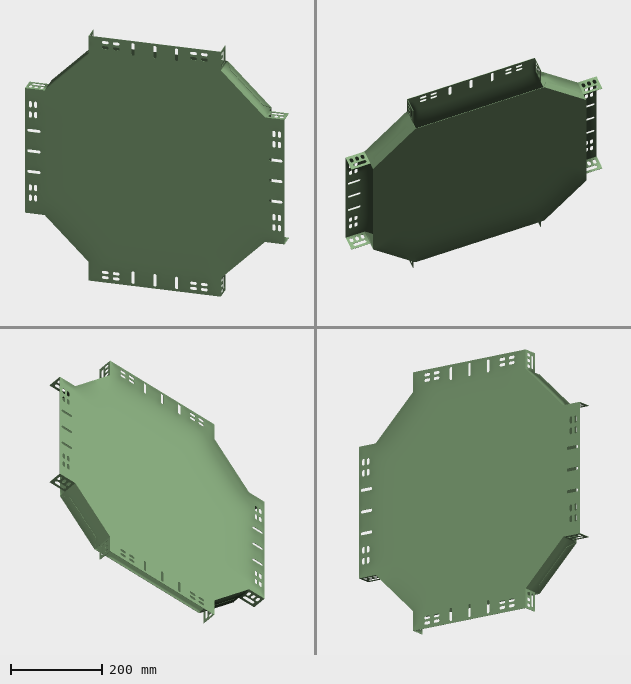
import cadquery as cq
import math

SPAN = 591.5
TOTAL_DEPTH = 51.5
SHEET = 0.75
COVER_SHEET = 0.75
ARM_WIDTH = 301.0
CORNER_CUT = 100.5

HALF_SPAN = SPAN / 2
HALF_ARM = ARM_WIDTH / 2
HALF_BODY = HALF_ARM + CORNER_CUT
TRAY_FRONT = -TOTAL_DEPTH / 2
WALL_TOP = TOTAL_DEPTH / 2 - COVER_SHEET
WALL_DISTANCE = (HALF_ARM + HALF_BODY) / math.sqrt(2)
WALL_LENGTH = CORNER_CUT * math.sqrt(2)

TAB_HEIGHT = 35.0
TAB_LENGTH = HALF_SPAN - HALF_BODY

SLOT_WIDTH = 7.0
TAB_SLOT_WIDTH = 7.5
ARM_SHORT_SLOT_LENGTH = 15.5
ARM_SHORT_SLOT_OFFSETS = (88.0, 113.0)
ARM_SHORT_SLOT_DEPTHS = (12.0, 24.0)
ARM_LONG_SLOT_LENGTH = 30.0
ARM_LONG_SLOT_PITCH = 49.5
ARM_LONG_SLOT_DEPTH = 20.0
TAB_SHORT_SLOT_LENGTH = 11.0
TAB_SHORT_SLOT_PITCH = 13.0
TAB_SHORT_SLOT_HEIGHT = 12.0
TAB_LONG_SLOT_LENGTH = 30.0
TAB_LONG_SLOT_HEIGHT = 25.5
TAB_SHORT_SLOT_DEPTH = 22.5
TAB_LONG_SLOT_DEPTH = 23.5

LIP_DEPTH = 19.0

ARM_ANGLES = (0, 90, 180, 270)
DIAGONAL_ANGLES = (45, 135, 225, 315)


def front_workplane(y):
    """Workplane facing -Y at the given Y: local x is X, local y is Z, and extrusions go toward -Y."""
    return cq.Workplane("XZ", origin=(0, y, 0))


def turned(body, angle):
    """Body turned about the Y axis through the centre."""
    return body.rotate((0, 0, 0), (0, 1, 0), angle)


def base_plate():
    """Flat cross with 45 degree corners."""
    arm_x = front_workplane(TRAY_FRONT + SHEET).rect(SPAN, ARM_WIDTH).extrude(SHEET)
    arm_z = front_workplane(TRAY_FRONT + SHEET).rect(ARM_WIDTH, SPAN).extrude(SHEET)
    return arm_x.union(arm_z).union(octagon(TRAY_FRONT, SHEET, 0))


def octagon(front, thickness, diagonal_growth):
    """Flat octagon whose diagonal sides lie diagonal_growth outside the outer faces of the walls."""
    half_side = HALF_ARM + diagonal_growth * math.sqrt(2)
    corners = [
        (HALF_BODY, half_side),
        (half_side, HALF_BODY),
        (-half_side, HALF_BODY),
        (-HALF_BODY, half_side),
        (-HALF_BODY, -half_side),
        (-half_side, -HALF_BODY),
        (half_side, -HALF_BODY),
        (HALF_BODY, -half_side),
    ]
    return front_workplane(front + thickness).polyline(corners).close().extrude(thickness)


def arm_slots():
    """Cutters for the slots near the end of the +Z arm."""
    base = front_workplane(TRAY_FRONT + SHEET)
    long_points = [(i * ARM_LONG_SLOT_PITCH, HALF_SPAN - ARM_LONG_SLOT_DEPTH) for i in (-1, 0, 1)]
    short_points = [
        (side * offset, HALF_SPAN - depth)
        for side in (-1, 1)
        for offset in ARM_SHORT_SLOT_OFFSETS
        for depth in ARM_SHORT_SLOT_DEPTHS
    ]
    long_slots = base.pushPoints(long_points).slot2D(ARM_LONG_SLOT_LENGTH, SLOT_WIDTH, 90).extrude(SHEET)
    short_slots = base.pushPoints(short_points).slot2D(ARM_SHORT_SLOT_LENGTH, SLOT_WIDTH).extrude(SHEET)
    return long_slots.union(short_slots)


def joint_tab():
    """Slotted tab on the +X side of the +Z arm, square to the plate."""
    side = cq.Workplane("YZ", origin=(HALF_ARM - SHEET, 0, 0))
    middle = (HALF_SPAN + HALF_BODY) / 2
    tab = side.center(TRAY_FRONT + TAB_HEIGHT / 2, middle).rect(TAB_HEIGHT, TAB_LENGTH).extrude(SHEET)
    long_slot = (
        side.center(TRAY_FRONT + TAB_LONG_SLOT_HEIGHT, HALF_SPAN - TAB_LONG_SLOT_DEPTH)
        .slot2D(TAB_LONG_SLOT_LENGTH, TAB_SLOT_WIDTH, 90)
        .extrude(SHEET)
    )
    short_slots = (
        side.center(TRAY_FRONT + TAB_SHORT_SLOT_HEIGHT, HALF_SPAN - TAB_SHORT_SLOT_DEPTH)
        .pushPoints([(0, i * TAB_SHORT_SLOT_PITCH) for i in (-1, 0, 1)])
        .slot2D(TAB_SHORT_SLOT_LENGTH, TAB_SLOT_WIDTH)
        .extrude(SHEET)
    )
    return tab.cut(long_slot).cut(short_slots)


def diagonal_wall():
    """Wall along a 45 degree corner, placed on the +Z side before it is turned."""
    wall_height = WALL_TOP - TRAY_FRONT
    base = cq.Workplane("XY", origin=(0, TRAY_FRONT + wall_height / 2, WALL_DISTANCE - SHEET))
    return base.rect(WALL_LENGTH, wall_height).extrude(SHEET)


def make_tray():
    """Plate with four slotted arms, eight tabs and four diagonal walls."""
    tray = base_plate()
    tab = joint_tab()
    tabs = tab.union(tab.mirror("YZ"))
    for angle in ARM_ANGLES:
        tray = tray.cut(turned(arm_slots(), angle)).union(turned(tabs, angle))
    for angle in DIAGONAL_ANGLES:
        tray = tray.union(turned(diagonal_wall(), angle))
    return tray


def cover_lip():
    """Lip with 45 degree ends, placed on the +Z side before it is turned."""
    half_top = WALL_LENGTH / 2
    half_bottom = half_top - LIP_DEPTH
    bottom = WALL_TOP - LIP_DEPTH
    outline = [(-half_top, WALL_TOP), (half_top, WALL_TOP), (half_bottom, bottom), (-half_bottom, bottom)]
    return cq.Workplane("XY", origin=(0, 0, WALL_DISTANCE)).polyline(outline).close().extrude(COVER_SHEET)


def make_cover():
    """Flat octagon resting on the walls, with a lip over each of them."""
    cover = octagon(WALL_TOP, COVER_SHEET, COVER_SHEET)
    for angle in DIAGONAL_ANGLES:
        cover = cover.union(turned(cover_lip(), angle))
    return cover


tray = make_tray()
cover = make_cover()
result = cq.Compound.makeCompound([tray.val(), cover.val()])